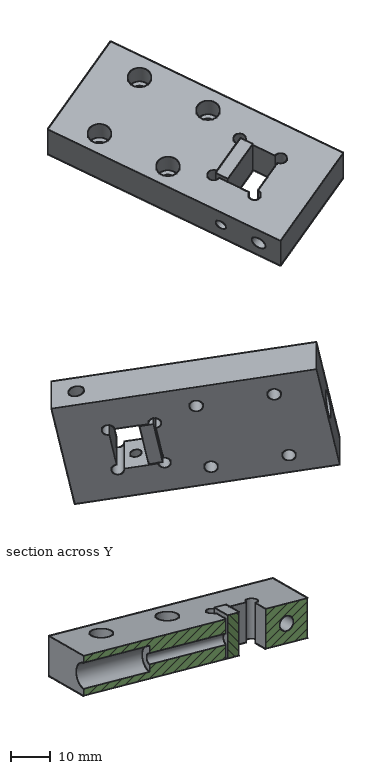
import cadquery as cq

PLATE_LENGTH = 68.05
PLATE_WIDTH = 31.45
PLATE_HEIGHT = 11.0
MID_HEIGHT = PLATE_HEIGHT / 2

AXIS_Y = 15.45

SCREW_FIRST_X = 12.0
SCREW_PITCH = 20.0
SCREW_DIAMETER = 3.5
SCREW_HEAD_DIAMETER = 6.0
SCREW_HEAD_DEPTH = 6.0

WINDOW_START_X = 43.3
WINDOW_LENGTH = 12.0
WINDOW_WIDTH = 13.0
RELIEF_DIAMETER = 3.2

BORE_DIAMETER = 7.0
BORE_DEPTH = 20.0
BORE_TIP_DIAMETER = 3.0

SIDE_HOLE_X = 50.65
SIDE_HOLE_DIAMETER = 3.0
CROSS_HOLE_X = 61.65
CROSS_HOLE_DIAMETER = 4.0

BLOCK_GAP_X = 0.4
BLOCK_LENGTH = 3.6
BLOCK_WIDTH = 12.45
BLOCK_PROTRUSION = 0.95
BLOCK_HEIGHT = PLATE_HEIGHT + BLOCK_PROTRUSION

WINDOW_CENTER_X = WINDOW_START_X + WINDOW_LENGTH / 2


def cut_screw_holes(plate):
    center_x = SCREW_FIRST_X + SCREW_PITCH / 2
    return (
        plate.faces(">Z")
        .workplane(origin=(center_x, AXIS_Y, PLATE_HEIGHT))
        .rarray(SCREW_PITCH, SCREW_PITCH, 2, 2)
        .cboreHole(SCREW_DIAMETER, SCREW_HEAD_DIAMETER, SCREW_HEAD_DEPTH)
    )


def cut_window(plate):
    base = cq.Workplane("XY", origin=(WINDOW_CENTER_X, AXIS_Y, 0))
    opening = base.rect(WINDOW_LENGTH, WINDOW_WIDTH).extrude(PLATE_HEIGHT)
    reliefs = (
        base.rarray(WINDOW_LENGTH, WINDOW_WIDTH, 2, 2)
        .circle(RELIEF_DIAMETER / 2)
        .extrude(PLATE_HEIGHT)
    )
    return plate.cut(opening).cut(reliefs)


def cut_end_bore(plate):
    end_face = cq.Workplane("YZ", origin=(0, AXIS_Y, MID_HEIGHT))
    bore = end_face.circle(BORE_DIAMETER / 2).extrude(BORE_DEPTH)
    tip = end_face.circle(BORE_TIP_DIAMETER / 2).extrude(WINDOW_CENTER_X)
    return plate.cut(bore).cut(tip)


def cut_hole_along_y(plate, x, diameter, depth):
    hole = cq.Workplane("XZ", origin=(x, 0, MID_HEIGHT)).circle(diameter / 2).extrude(-depth)
    return plate.cut(hole)


def make_plate():
    plate = cq.Workplane("XY").box(PLATE_LENGTH, PLATE_WIDTH, PLATE_HEIGHT, centered=False)
    plate = cut_screw_holes(plate)
    plate = cut_window(plate)
    plate = cut_end_bore(plate)
    plate = cut_hole_along_y(plate, SIDE_HOLE_X, SIDE_HOLE_DIAMETER, AXIS_Y)
    return cut_hole_along_y(plate, CROSS_HOLE_X, CROSS_HOLE_DIAMETER, PLATE_WIDTH)


def make_block():
    block_center_x = WINDOW_START_X + BLOCK_GAP_X + BLOCK_LENGTH / 2
    return (
        cq.Workplane("XY", origin=(block_center_x, AXIS_Y, 0))
        .rect(BLOCK_LENGTH, BLOCK_WIDTH)
        .extrude(BLOCK_HEIGHT)
    )


plate = make_plate()
block = make_block()
result = cq.Compound.makeCompound([plate.val(), block.val()])